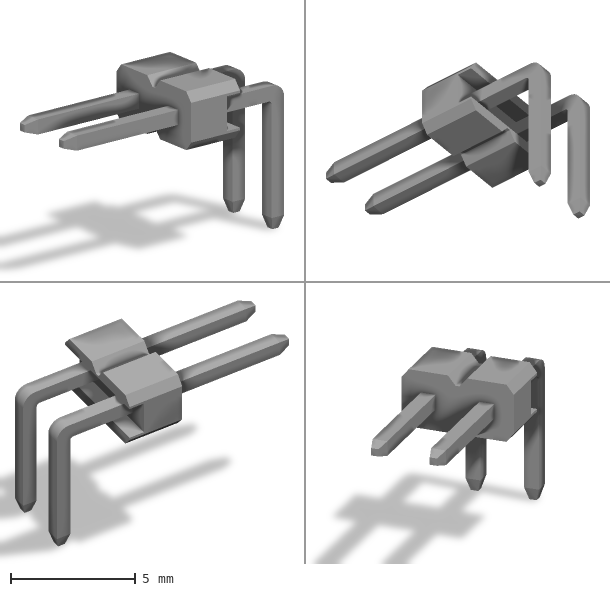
import cadquery as cq


pin_count = 2
pitch = 2.54
pin_size = 0.64
tip_length = 0.55
tip_size = pin_size / 2
bend_outer_radius = 0.58
bend_inner_radius = 0.15
overall_length = 11.14
overall_height = 7.1

housing_width = 4.88
housing_length = 2.50
housing_height = 2.50
housing_setback = 2.92
cell_flat_width = 1.70
corner_depth = 0.40
notch_floor_width = 0.17
slot_depth = 0.68
slot_height = 1.48

half_pin = pin_size / 2
half_height = housing_height / 2
pin_back_y = half_pin
front_tip_y = pin_back_y - overall_length
down_tip_z = half_height - overall_height
housing_back_y = pin_back_y - housing_setback
pin_xs = [(i - (pin_count - 1) / 2) * pitch for i in range(pin_count)]


def make_housing():
    """Bevelled cells joined by V notches with narrow floors, extruded along Y."""
    half_width = housing_width / 2
    shoulder_z = half_height - corner_depth
    top_edge = [(-half_width, shoulder_z)]
    for index, x in enumerate(pin_xs):
        if index > 0:
            notch_x = x - pitch / 2
            top_edge.append((notch_x - notch_floor_width / 2, shoulder_z))
            top_edge.append((notch_x + notch_floor_width / 2, shoulder_z))
        top_edge.append((x - cell_flat_width / 2, half_height))
        top_edge.append((x + cell_flat_width / 2, half_height))
    top_edge.append((half_width, shoulder_z))
    bottom_edge = [(x, -z) for x, z in reversed(top_edge)]

    housing = (
        cq.Workplane("XZ", origin=(0, housing_back_y, 0))
        .polyline(top_edge + bottom_edge)
        .close()
        .extrude(housing_length)
    )
    slot = cq.Workplane("XY").box(
        housing_width, slot_depth, slot_height, centered=(True, False, True)
    )
    return housing.cut(slot.translate((0, housing_back_y - slot_depth, 0)))


def make_tip(base_plane):
    """Tapered square tip growing along the normal of its base plane."""
    return (
        cq.Workplane(base_plane)
        .rect(pin_size, pin_size)
        .workplane(offset=tip_length)
        .rect(tip_size, tip_size)
        .loft(ruled=True)
    )


def make_pin(x):
    """Square pin bent down at its back end, tapered at both tips."""
    tip_base_y = front_tip_y + tip_length
    tip_base_z = down_tip_z + tip_length
    shaft = (
        cq.Workplane("YZ", origin=(x - half_pin, 0, 0))
        .moveTo(tip_base_y, half_pin)
        .lineTo(pin_back_y - bend_outer_radius, half_pin)
        .radiusArc((pin_back_y, half_pin - bend_outer_radius), bend_outer_radius)
        .lineTo(half_pin, tip_base_z)
        .lineTo(-half_pin, tip_base_z)
        .lineTo(-half_pin, -half_pin - bend_inner_radius)
        .radiusArc((-half_pin - bend_inner_radius, -half_pin), -bend_inner_radius)
        .lineTo(tip_base_y, -half_pin)
        .close()
        .extrude(pin_size)
    )
    front_base = cq.Plane(origin=(x, tip_base_y, 0), xDir=(1, 0, 0), normal=(0, -1, 0))
    down_base = cq.Plane(origin=(x, 0, tip_base_z), xDir=(1, 0, 0), normal=(0, 0, -1))
    return shaft.union(make_tip(front_base)).union(make_tip(down_base))


result = make_housing()
for pin_x in pin_xs:
    result = result.union(make_pin(pin_x))